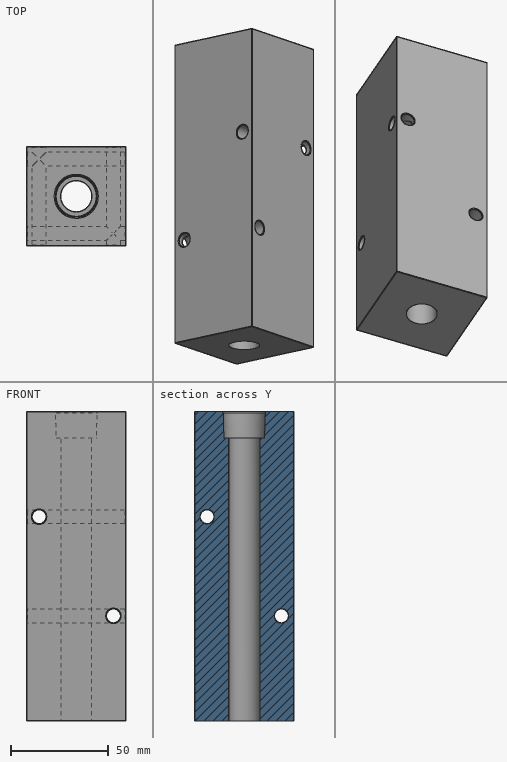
import cadquery as cq

side = 50.8
height = 158.75
edge_chamfer = 0.254

bore_diameter = 15.875
port_taper = 1 / 16
port_diameter = 21.4
port_depth = 13.56
countersink_diameter = 22.6
countersink_depth = 0.8

cross_diameter = 7.1
cross_countersink = 0.4
cross_offset = 19.05
cross_rise = 25.4


def make_block():
    """Square bar with every outer edge lightly broken."""
    return cq.Workplane("XY").box(side, side, height).edges().chamfer(edge_chamfer)


def port_radius(depth):
    """Radius of the tapered port at a given depth below the top face."""
    return (port_diameter - port_taper * depth) / 2


def cut_port(body):
    """Bore right through the block and open its top end into the tapered port."""
    top = height / 2
    profile = [
        (0, top),
        (countersink_diameter / 2, top),
        (port_radius(countersink_depth), top - countersink_depth),
        (port_radius(port_depth), top - port_depth),
        (bore_diameter / 2, top - port_depth),
        (bore_diameter / 2, -top),
        (0, -top),
    ]
    return body.cut(cq.Workplane("XZ").polyline(profile).close().revolve())


def cross_hole(plane):
    """Cutter across the full width of the block, countersunk at both ends."""
    end = side / 2
    hole_radius = cross_diameter / 2
    mouth_radius = hole_radius + cross_countersink
    profile = [
        (0, -end),
        (mouth_radius, -end),
        (hole_radius, cross_countersink - end),
        (hole_radius, end - cross_countersink),
        (mouth_radius, end),
        (0, end),
    ]
    return plane.polyline(profile).close().revolve(axisStart=(0, 0), axisEnd=(0, 1))


def cut_cross_holes(body):
    """Front-to-back and side-to-side through holes, one of each at both levels."""
    for level in (1, -1):
        rise = level * cross_rise
        shift = level * cross_offset
        along_y = cq.Workplane("XY", origin=(-shift, 0, rise))
        along_x = cq.Workplane("YX", origin=(0, shift, rise))
        for plane in (along_y, along_x):
            body = body.cut(cross_hole(plane))
    return body


result = cut_cross_holes(cut_port(make_block()))